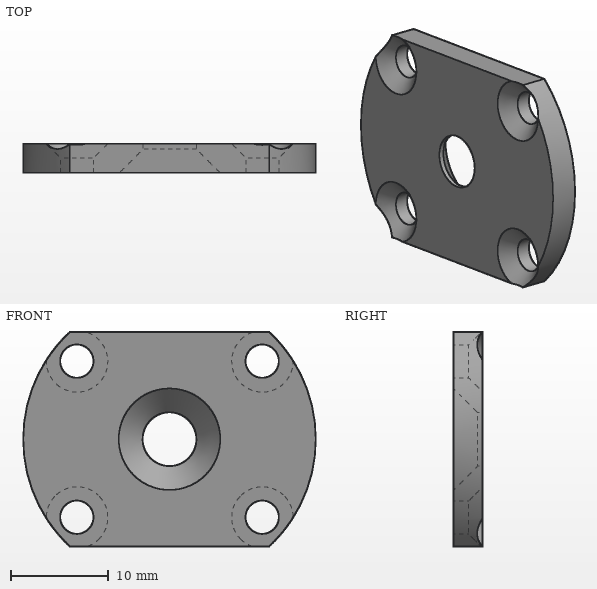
import cadquery as cq

disc_diameter = 30.0
flat_to_flat = 22.0
thickness = 3.0
front_y = -thickness / 2
back_y = thickness / 2

center_hole_diameter = 5.5
center_sink_diameter = 10.4

screw_hole_diameter = 3.4
screw_sink_diameter = 6.3
screw_spacing_x = 19.0
screw_spacing_z = 16.0


def plate():
    """Disc trimmed by flats at the top and bottom."""
    disc = cq.Workplane("XZ").circle(disc_diameter / 2).extrude(thickness / 2, both=True)
    return disc.intersect(cq.Workplane("XY").box(disc_diameter, thickness, flat_to_flat))


def countersunk_hole(x, z, hole_diameter, sink_diameter, face_y, inward):
    """Through hole with a 90 degree cone sunk from face_y; inward is +1 or -1 along Y."""
    axis = cq.Vector(0, inward, 0)
    mouth = cq.Vector(x, face_y, z)
    hole_radius = hole_diameter / 2
    sink_radius = sink_diameter / 2
    sink_depth = sink_radius - hole_radius
    bore = cq.Solid.makeCylinder(hole_radius, thickness, mouth, axis)
    cone = cq.Solid.makeCone(sink_radius, hole_radius, sink_depth, mouth, axis)
    return cq.Workplane("XY").add(bore.fuse(cone))


result = plate()
result = result.cut(
    countersunk_hole(0, 0, center_hole_diameter, center_sink_diameter, front_y, 1)
)

for side_x in (-1, 1):
    for side_z in (-1, 1):
        screw_x = side_x * screw_spacing_x / 2
        screw_z = side_z * screw_spacing_z / 2
        result = result.cut(
            countersunk_hole(
                screw_x, screw_z, screw_hole_diameter, screw_sink_diameter, back_y, -1
            )
        )